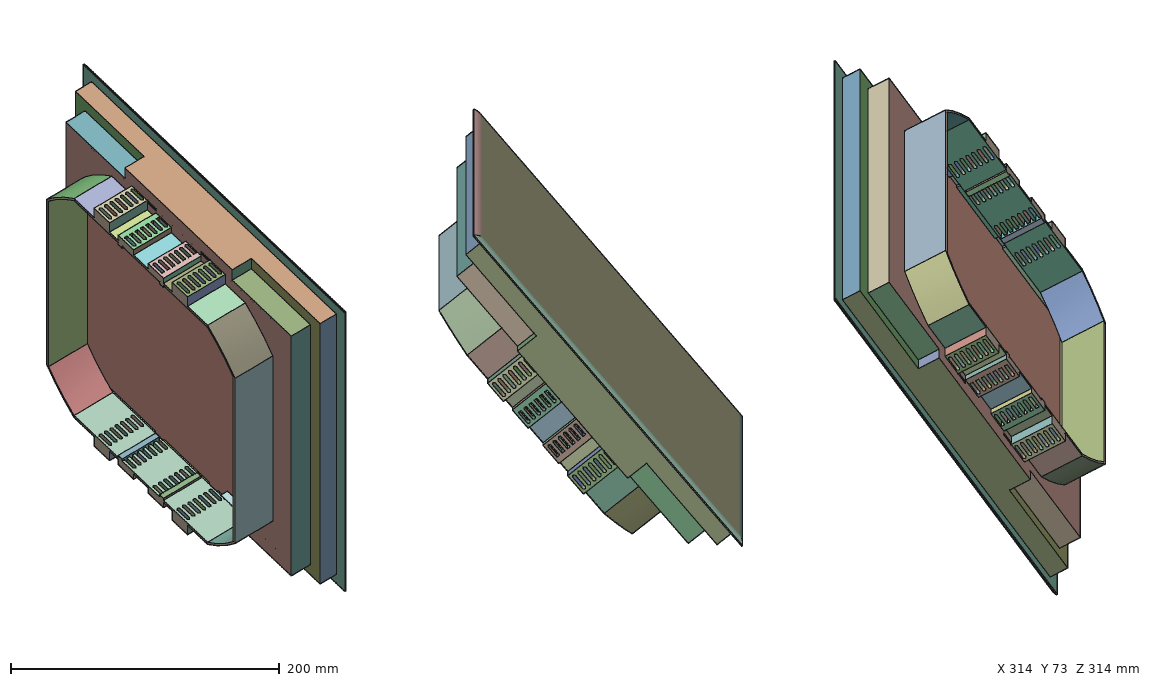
import cadquery as cq
import math

OVERALL_DEPTH = 73.0

BEZEL_SIZE = 314.0
BEZEL_THICK = 3.5
BEZEL_EDGE = 1.0
BEZEL_ROUND_RUN = 6.3

BOX_SIZE = 293.5
BOX_DEPTH = 15.5
STEP_SIZE = 270.5
STEP_DEPTH = 18.2
TAB_WIDTH = 128.7

COLLAR_WIDTH = 226.0
COLLAR_HEIGHT = 247.0
COLLAR_FLAT_X = 160.0
COLLAR_FLAT_Z = 186.2
CORNER_BULGE = 1.5
WALL = 2.5

CAVITY_WIDTH = 238.5
CAVITY_DEPTH = 8.0
LIP = 1.0
SHELF_START_X = 48.7
SHELF_DROP = 1.3

BLOCK_WIDTH = 18.5
OUTER_BLOCK_X = 46.8
OUTER_BLOCK_TOP = 134.0
INNER_BLOCK_X = 18.0
INNER_BLOCK_TOP = 129.5
RIB_WIDTH = 4.7
RIB_INWARD = 2.2

SLOT_COUNT = 7
SLOT_PITCH = 5.0
SLOT_FIRST = 2.2
SLOT_LENGTH = 13.5
SLOT_HEIGHT = 2.5

WINDOW_HEIGHT = 2.5

SIDES = (-1, 1)
y_back = OVERALL_DEPTH / 2
y_front = -OVERALL_DEPTH / 2
y_bezel = y_back - BEZEL_THICK
y_box = y_bezel - BOX_DEPTH
y_step = y_box - STEP_DEPTH
y_cavity = y_step + CAVITY_DEPTH
collar_depth = y_step - y_front
collar_inner_z = COLLAR_HEIGHT / 2 - WALL
cavity_top = OUTER_BLOCK_TOP - WINDOW_HEIGHT
inner_block_side = INNER_BLOCK_X + BLOCK_WIDTH / 2
outer_block_side = OUTER_BLOCK_X - BLOCK_WIDTH / 2


def box_between(xs, ys, zs):
    """Box spanning the given pairs of X, Y and Z limits, in either order."""
    corner = (min(xs), min(ys), min(zs))
    size = [abs(pair[1] - pair[0]) for pair in (xs, ys, zs)]
    return cq.Workplane("XY").box(*size, centered=False).translate(corner)


def centred_plate(width, height, y_start, y_end):
    return box_between((-width / 2, width / 2), (y_start, y_end), (-height / 2, height / 2))


def bezel_profile(plane):
    half = BEZEL_SIZE / 2
    flat_half = half - BEZEL_ROUND_RUN
    y_rim = y_bezel + BEZEL_EDGE
    rise = y_back - y_rim
    radius = (BEZEL_ROUND_RUN**2 + rise**2) / (2 * rise)
    return (
        cq.Workplane(plane)
        .moveTo(-half, y_bezel)
        .lineTo(half, y_bezel)
        .lineTo(half, y_rim)
        .radiusArc((flat_half, y_back), -radius)
        .lineTo(-flat_half, y_back)
        .radiusArc((-half, y_rim), -radius)
        .close()
        .extrude(half, both=True)
    )


def make_bezel():
    """Square plate whose four edges are rounded and meet in mitres."""
    across_x = bezel_profile("XY")
    across_z = across_x.rotate((0, 0, 0), (0, 1, 0), 90)
    return across_x.intersect(across_z)


def collar_prism(inset):
    """Collar outline moved inwards by inset, filled, from the step face to the front."""
    x = COLLAR_WIDTH / 2 - inset
    z = COLLAR_HEIGHT / 2 - inset
    flat_x = COLLAR_FLAT_X / 2
    flat_z = COLLAR_FLAT_Z / 2
    run_x = x - flat_x
    run_z = z - flat_z
    chord = math.hypot(run_x, run_z)
    arc_x = (x + flat_x) / 2 + CORNER_BULGE * run_z / chord
    arc_z = (z + flat_z) / 2 + CORNER_BULGE * run_x / chord
    return (
        cq.Workplane("XZ", origin=(0, y_step, 0))
        .moveTo(-flat_x, z)
        .lineTo(flat_x, z)
        .threePointArc((arc_x, arc_z), (x, flat_z))
        .lineTo(x, -flat_z)
        .threePointArc((arc_x, -arc_z), (flat_x, -z))
        .lineTo(-flat_x, -z)
        .threePointArc((-arc_x, -arc_z), (-x, -flat_z))
        .lineTo(-x, flat_z)
        .threePointArc((-arc_x, arc_z), (-flat_x, z))
        .close()
        .extrude(collar_depth)
    )


def stepped_box():
    box = centred_plate(BOX_SIZE, BOX_SIZE, y_box, y_bezel)
    step = centred_plate(STEP_SIZE, STEP_SIZE, y_step, y_box)
    tabs = centred_plate(TAB_WIDTH, BOX_SIZE, y_step, y_box)
    return box.union(step).union(tabs)


def cavity():
    """Space behind a thin lip, open through the collar's inside, less the shelf."""
    space = centred_plate(CAVITY_WIDTH, 2 * cavity_top, y_step + LIP, y_cavity)
    shelf = box_between(
        (SHELF_START_X, CAVITY_WIDTH / 2),
        (y_step, y_cavity),
        (-cavity_top, -collar_inner_z - SHELF_DROP),
    )
    mouth = collar_prism(WALL).translate((0, LIP, 0))
    return space.cut(shelf).union(mouth)


def vent_block(side, end, centre_x, top):
    half = BLOCK_WIDTH / 2
    return box_between(
        (side * centre_x - half, side * centre_x + half),
        (y_front, y_step),
        (end * collar_inner_z, end * top),
    )


def rib(side, end):
    return box_between(
        (side * inner_block_side, side * (inner_block_side - RIB_WIDTH)),
        (y_front, y_step),
        (end * (collar_inner_z - RIB_INWARD), end * INNER_BLOCK_TOP),
    )


def slot_column(centre_x):
    """One column of slots that passes through the top and bottom blocks."""
    centres = [(centre_x, y_step - SLOT_FIRST - i * SLOT_PITCH) for i in range(SLOT_COUNT)]
    return (
        cq.Workplane("XY")
        .pushPoints(centres)
        .slot2D(SLOT_LENGTH, SLOT_HEIGHT)
        .extrude(OUTER_BLOCK_TOP, both=True)
    )


def window(side, end):
    return box_between(
        (side * inner_block_side, side * outer_block_side),
        (y_step, y_cavity),
        (end * (OUTER_BLOCK_TOP - WINDOW_HEIGHT), end * OUTER_BLOCK_TOP),
    )


def make_housing():
    body = stepped_box().cut(cavity())
    body = body.union(collar_prism(0).cut(collar_prism(WALL)))
    for side in SIDES:
        for end in SIDES:
            body = body.union(vent_block(side, end, OUTER_BLOCK_X, OUTER_BLOCK_TOP))
            body = body.union(vent_block(side, end, INNER_BLOCK_X, INNER_BLOCK_TOP))
    for side in SIDES:
        body = body.cut(slot_column(side * OUTER_BLOCK_X))
        body = body.cut(slot_column(side * INNER_BLOCK_X))
    for side in SIDES:
        for end in SIDES:
            body = body.union(rib(side, end))
            body = body.cut(window(side, end))
    return body


bezel = make_bezel()
housing = make_housing()
result = cq.Compound.makeCompound([bezel.val(), housing.val()])